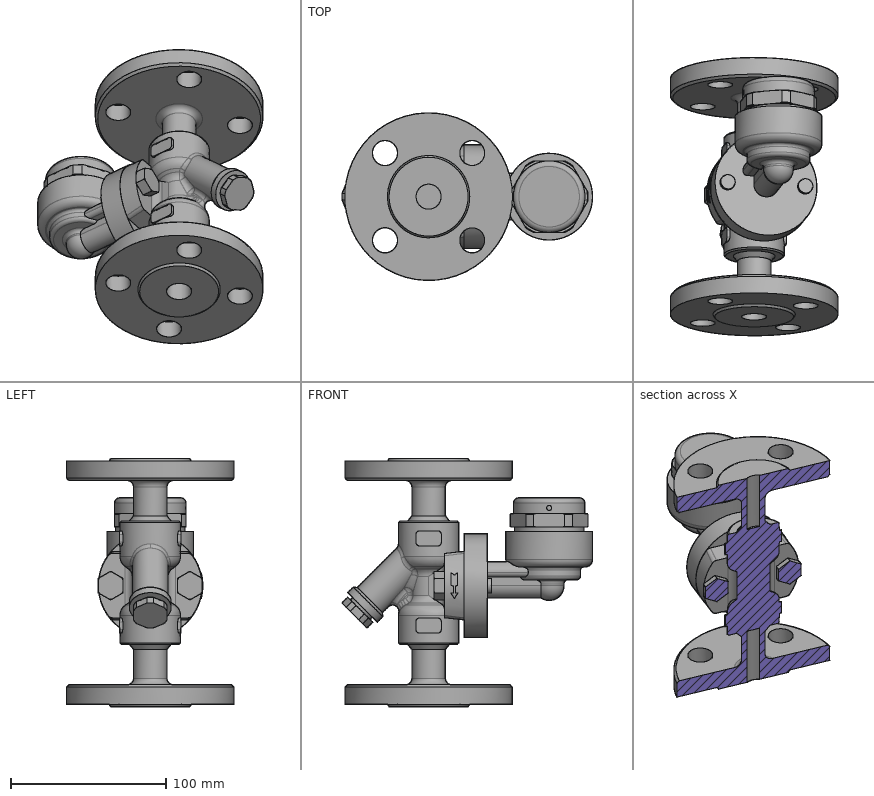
import math

import cadquery as cq

face_to_face = 160.0
end_z = face_to_face / 2

flange_dia = 108.0
flange_thickness = 14.3
raised_face_dia = 50.8
raised_face_foot_dia = 53.0
raised_face_height = 1.6
flange_chamfer = 1.6
bolt_circle_dia = 79.4
bolt_hole_dia = 16.0
bolt_hole_count = 4
first_bolt_hole_angle = 45.0
bore_dia = 16.1
bore_depth = 40.0

stub_dia = 21.7
stub_root_radius = 4.15
body_dia = 39.0
body_half_length = 39.7
body_rim_radius = 1.0
body_cone_dia = 27.0
body_cone_height = 3.35

waist_z = -2.1
waist_dia = 23.0
waist_half_height = 6.1
shoulder_radius = 8.0
waist_radius = 6.0
shoulder_angle = math.radians(55)

pad_width = 16.4
pad_height = 9.8
pad_corner_radius = 2.5
pad_face_y = 19.7
pad_depth = 4.0
upper_pad_z = 28.5
lower_pad_z = -27.6

branch_axis_z = 26.6
branch_angle = 45.0
branch_dia = 23.0
branch_blend_radius = 3.8
bridge_x = -13.0
bridge_z = -7.0
bridge_major_radius = 11.3
bridge_minor_radius = 3.5
bridge_half_length = 7.0
collar_dia = 27.0
collar_start = 53.4
collar_face = 60.2
collar_cone_height = 1.7
plug_neck_dia = 18.0
plug_start = 62.2
plug_end = 67.5
plug_dia = 23.0
plug_across_flats = 21.7

joint_z = -1.9
side_flange_dia = 67.0
inner_flange_dia = 66.6
inner_flange_x = 10.25
joint_x = 22.85
outer_flange_x = 37.9
inner_flange_half_height = 20.7
inner_flange_joint_half_height = 22.1
inner_flange_edge_radius = 3.5
web_half_height = 18.0
web_blend_radius = 4.75

joint_bolt_y = 25.5
joint_bolt_across_flats = 16.0
joint_bolt_head_height = 6.85
joint_bolt_head_chamfer = 0.5
joint_bolt_dia = 9.5
joint_bolt_tip = 2.5

arrow_x = 16.6
arrow_top_z = 6.3
arrow_tip_z = -10.2
arrow_tail_z = -1.6
arrow_head_z = -6.6
arrow_tail_half_width = 2.1
arrow_shaft_half_width = 0.7
arrow_head_half_width = 2.3
arrow_notch = 1.4
arrow_rise = 0.6
arrow_root_depth = 2.0

passage_width = 30.3
passage_bottom_z = 3.55
passage_height = 10.05
passage_upper_radius = 7.0
passage_lower_radius = 3.0
drain_dia = 16.1

trap_x = 77.6
elbow_dia = 19.2
elbow_top_z = -0.7
elbow_blend_radius = 2.5
step_bottom_z = 1.8
step_dia = 40.5
step_bottom_radius = 2.5
step_top_radius = 2.0
cup_bottom_z = 10.0
cup_dia = 56.0
cup_bottom_radius = 5.0
cup_top_z = 33.0
trap_neck_dia = 45.0
nut_bottom_z = 35.8
nut_top_z = 44.5
nut_across_flats = 46.1
nut_dia = 50.2
nut_chamfer = 0.5
cap_dia = 46.1
cap_top_z = 54.7
cap_radius = 3.55
dimple_dia = 3.2
dimple_depth = 1.0
dimple_z = 48.1


def rod(dia, start, end):
    """Cylinder on the Z axis from start to end."""
    return cq.Workplane("XY").workplane(offset=start).circle(dia / 2).extrude(end - start)


def turned(profile):
    """Solid of revolution about the Z axis from an XZ half profile."""
    return profile.revolve(360, (0, 0, 0), (0, 1, 0))


def hexagon(across_flats, start, end):
    """Hexagonal prism on the Z axis with two flats facing -Y and +Y."""
    corner_dia = across_flats / math.cos(math.pi / 6)
    return cq.Workplane("XY").workplane(offset=start).polygon(6, corner_dia).extrude(end - start)


def along_x(body, x, y, z):
    """Turn a body built on the Z axis to point along +X and move it into place."""
    return body.rotate((0, 0, 0), (0, 1, 0), 90).translate((x, y, z))


def make_pipe_flange():
    """Upper pipe flange with its stub, reaching down into the body."""
    face_z = end_z - raised_face_height
    back_z = end_z - flange_thickness
    stub_r = stub_dia / 2
    root_r = stub_r + stub_root_radius
    flange_r = flange_dia / 2
    profile = (
        cq.Workplane("XZ")
        .moveTo(0, body_half_length)
        .lineTo(body_cone_dia / 2, body_half_length)
        .lineTo(stub_r, body_half_length + body_cone_height)
        .lineTo(stub_r, back_z - stub_root_radius)
        .radiusArc((root_r, back_z), stub_root_radius)
        .lineTo(flange_r - flange_chamfer, back_z)
        .lineTo(flange_r, back_z + flange_chamfer)
        .lineTo(flange_r, face_z)
        .lineTo(raised_face_foot_dia / 2, face_z)
        .lineTo(raised_face_dia / 2, end_z)
        .lineTo(0, end_z)
        .close()
    )
    flange = turned(profile)
    holes = (
        cq.Workplane("XY")
        .workplane(offset=back_z)
        .polarArray(bolt_circle_dia / 2, first_bolt_hole_angle, 360, bolt_hole_count)
        .circle(bolt_hole_dia / 2)
        .extrude(flange_thickness)
    )
    return flange.cut(holes)


def make_body_half(direction):
    """Half of the waisted body: direction +1 is the upper half, -1 the lower half."""
    body_r = body_dia / 2
    waist_r = waist_dia / 2
    sin_a = math.sin(shoulder_angle)
    cos_a = math.cos(shoulder_angle)
    half_a = shoulder_angle / 2

    flank_inner_r = waist_r + waist_radius * (1 - cos_a)
    flank_outer_r = body_r - shoulder_radius * (1 - cos_a)
    flank_inner_h = waist_half_height + waist_radius * sin_a
    flank_outer_h = flank_inner_h + (flank_outer_r - flank_inner_r) / math.tan(shoulder_angle)
    shoulder_h = flank_outer_h + shoulder_radius * sin_a
    waist_mid = (
        waist_r + waist_radius * (1 - math.cos(half_a)),
        waist_half_height + waist_radius * math.sin(half_a),
    )
    shoulder_mid = (
        body_r - shoulder_radius * (1 - math.cos(half_a)),
        shoulder_h - shoulder_radius * math.sin(half_a),
    )

    def point(radius, height):
        return radius, waist_z + direction * height

    rim_z = direction * body_half_length
    profile = (
        cq.Workplane("XZ")
        .moveTo(0, waist_z)
        .lineTo(waist_r, waist_z)
        .lineTo(*point(waist_r, waist_half_height))
        .threePointArc(point(*waist_mid), point(flank_inner_r, flank_inner_h))
        .lineTo(*point(flank_outer_r, flank_outer_h))
        .threePointArc(point(*shoulder_mid), point(body_r, shoulder_h))
        .lineTo(body_r, rim_z - direction * body_rim_radius)
        .lineTo(body_r - body_rim_radius, rim_z)
        .lineTo(0, rim_z)
        .close()
    )
    return turned(profile)


def make_pads():
    """Flat rectangular pads on the -Y and +Y sides of both body halves."""
    pads = cq.Workplane("XY")
    for pad_z in (upper_pad_z, lower_pad_z):
        for side in (-1, 1):
            pad = (
                cq.Workplane("XY")
                .box(pad_width, pad_depth, pad_height)
                .edges("|Y")
                .fillet(pad_corner_radius)
                .translate((0, side * (pad_face_y - pad_depth / 2), pad_z))
            )
            pads = pads.union(pad)
    return pads


def place_branch(body):
    """Move a body built along +Z onto the strainer axis."""
    return body.rotate((0, 0, 0), (0, 1, 0), 180 + branch_angle).translate((0, 0, branch_axis_z))


def make_bridge():
    """Oval bridge square to the branch, closing the notch between branch, waist and lower body half."""
    plane = cq.Plane(origin=(bridge_x, 0, bridge_z), xDir=(1, 0, 1), normal=(1, 0, -1))
    oval = cq.Workplane(plane).ellipse(bridge_major_radius, bridge_minor_radius)
    return oval.extrude(bridge_half_length, both=True)


def make_strainer_cap():
    """Collar, neck and hexagonal plug at the end of the branch."""
    collar_profile = (
        cq.Workplane("XZ")
        .moveTo(0, collar_start)
        .lineTo(branch_dia / 2, collar_start)
        .lineTo(collar_dia / 2, collar_start + collar_cone_height)
        .lineTo(collar_dia / 2, collar_face)
        .lineTo(0, collar_face)
        .close()
    )
    collar = turned(collar_profile)
    neck = rod(plug_neck_dia, collar_face, plug_start)
    plug = hexagon(plug_across_flats, plug_start, plug_end)
    plug = plug.intersect(rod(plug_dia, plug_start, plug_end))
    return place_branch(collar.union(neck).union(plug))


def make_web():
    """Web from the waist to the inner flange, flaring out where they meet."""
    half_width = waist_dia / 2
    flare_x = inner_flange_x - web_blend_radius
    flare_y = half_width + web_blend_radius
    return (
        cq.Workplane("XY")
        .workplane(offset=waist_z - web_half_height)
        .moveTo(0, -half_width)
        .lineTo(flare_x, -half_width)
        .radiusArc((inner_flange_x, -flare_y), web_blend_radius)
        .lineTo(inner_flange_x, flare_y)
        .radiusArc((flare_x, half_width), web_blend_radius)
        .lineTo(0, half_width)
        .close()
        .extrude(2 * web_half_height)
    )


def make_inner_flange():
    """Round flange with its top and bottom cut away by sloping planes."""
    disc = along_x(rod(inner_flange_dia, 0, joint_x - inner_flange_x), inner_flange_x, 0, joint_z)
    wedge = (
        cq.Workplane("XZ")
        .moveTo(inner_flange_x, joint_z - inner_flange_half_height)
        .lineTo(joint_x, joint_z - inner_flange_joint_half_height)
        .lineTo(joint_x, joint_z + inner_flange_joint_half_height)
        .lineTo(inner_flange_x, joint_z + inner_flange_half_height)
        .close()
        .extrude(inner_flange_dia / 2, both=True)
    )
    block = disc.intersect(wedge)
    long_edges = block.edges("%ELLIPSE")
    return long_edges.fillet(inner_flange_edge_radius)


def make_arrow():
    """Raised arrow pointing down on the -Y side of the inner flange."""
    right_side = [
        (arrow_tail_half_width, arrow_top_z),
        (arrow_tail_half_width, arrow_tail_z),
        (arrow_shaft_half_width, arrow_tail_z - arrow_notch / 2),
        (arrow_shaft_half_width, arrow_head_z),
        (arrow_head_half_width, arrow_head_z),
    ]
    left_side = [(-x, z) for x, z in reversed(right_side)]
    outline = [(0, arrow_top_z - arrow_notch), *right_side, (0, arrow_tip_z), *left_side]
    root_y = inner_flange_dia / 2 - arrow_root_depth
    prism = (
        cq.Workplane("XZ", origin=(arrow_x, -root_y, 0))
        .polyline(outline)
        .close()
        .extrude(2 * arrow_root_depth)
    )
    rim_dia = inner_flange_dia + 2 * arrow_rise
    rim = along_x(rod(rim_dia, 0, joint_x - inner_flange_x), inner_flange_x, 0, joint_z)
    return prism.intersect(rim)


def make_joint_bolt(y):
    """Bolt along X: hexagon head on the inner flange, tip beyond the outer flange."""
    corner_dia = joint_bolt_across_flats / math.cos(math.pi / 6)
    head = hexagon(joint_bolt_across_flats, 0, joint_bolt_head_height)
    rounding = rod(corner_dia, 0, joint_bolt_head_height).faces("<Z").chamfer(joint_bolt_head_chamfer)
    head = head.intersect(rounding)
    tip_end = outer_flange_x + joint_bolt_tip
    head_x = inner_flange_x - joint_bolt_head_height
    shank = rod(joint_bolt_dia, joint_bolt_head_height, tip_end - head_x)
    return along_x(head.union(shank), head_x, y, joint_z)


def make_side_flanges():
    """Inner flange, outer flange, web, arrow and bolts."""
    outer = along_x(rod(side_flange_dia, 0, outer_flange_x - joint_x), joint_x, 0, joint_z)
    flanges = make_inner_flange().union(outer).union(make_web()).union(make_arrow())
    for y in (-joint_bolt_y, joint_bolt_y):
        flanges = flanges.union(make_joint_bolt(y))
    return flanges


def make_arm():
    """Wide rounded inlet passage above a U-shaped drain passage."""
    length = trap_x - outer_flange_x
    middle_x = outer_flange_x + length / 2
    passage_z = passage_bottom_z + passage_height / 2
    passage = cq.Workplane("XY").box(length, passage_width, passage_height)
    passage = passage.edges("|X and >Z").fillet(passage_upper_radius)
    passage = passage.edges("|X and <Z").fillet(passage_lower_radius)
    passage = passage.translate((middle_x, 0, passage_z))
    drain = along_x(rod(drain_dia, 0, length), outer_flange_x, 0, joint_z)
    wall_height = passage_z - joint_z
    walls = cq.Workplane("XY").box(length, drain_dia, wall_height)
    walls = walls.translate((middle_x, 0, joint_z + wall_height / 2))
    return passage.union(drain).union(walls)


def make_trap():
    """Turned trap body with a ball-shaped elbow, stepped cup, nut and cap."""
    elbow_r = elbow_dia / 2
    step_r = step_dia / 2
    cup_r = cup_dia / 2
    ball_mid = elbow_r * math.sin(math.pi / 4)
    lower_profile = (
        cq.Workplane("XZ")
        .moveTo(0, joint_z - elbow_r)
        .threePointArc((ball_mid, joint_z - ball_mid), (elbow_r, joint_z))
        .lineTo(elbow_r, elbow_top_z)
        .radiusArc((elbow_r + elbow_blend_radius, step_bottom_z), elbow_blend_radius)
        .lineTo(step_r - step_bottom_radius, step_bottom_z)
        .radiusArc((step_r, step_bottom_z + step_bottom_radius), -step_bottom_radius)
        .lineTo(step_r, cup_bottom_z - step_top_radius)
        .radiusArc((step_r + step_top_radius, cup_bottom_z), step_top_radius)
        .lineTo(cup_r - cup_bottom_radius, cup_bottom_z)
        .radiusArc((cup_r, cup_bottom_z + cup_bottom_radius), -cup_bottom_radius)
        .lineTo(cup_r, cup_top_z)
        .lineTo(0, cup_top_z)
        .close()
    )
    lower = turned(lower_profile)
    neck = rod(trap_neck_dia, cup_top_z, nut_bottom_z)
    nut_round = rod(nut_dia, nut_bottom_z, nut_top_z).edges().chamfer(nut_chamfer)
    nut = hexagon(nut_across_flats, nut_bottom_z, nut_top_z).intersect(nut_round)
    cap = rod(cap_dia, nut_top_z, cap_top_z).faces(">Z").edges().fillet(cap_radius)
    dimple = (
        cq.Workplane("XZ", origin=(0, dimple_depth - cap_dia / 2, dimple_z))
        .circle(dimple_dia / 2)
        .extrude(2 * dimple_depth)
    )
    trap = lower.union(neck).union(nut).union(cap).cut(dimple)
    return trap.translate((trap_x, 0, 0))


body = make_body_half(1).union(make_body_half(-1))
branch = place_branch(rod(branch_dia, 0, collar_start))
body = body.union(branch).union(make_bridge())
body = body.edges("not(%LINE or %CIRCLE)").fillet(branch_blend_radius)

pipe_flange = make_pipe_flange()
body = body.union(pipe_flange).union(pipe_flange.mirror("XY"))
body = body.union(make_pads()).union(make_strainer_cap())
body = body.union(make_side_flanges()).union(make_arm()).union(make_trap())

upper_bore = rod(bore_dia, end_z - bore_depth, end_z)
body = body.cut(upper_bore).cut(upper_bore.mirror("XY"))
result = cq.Workplane(body.solids().val())